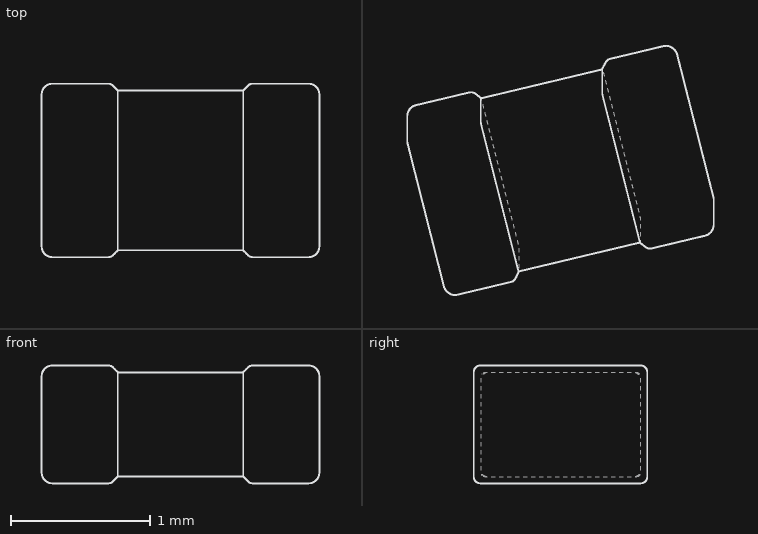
import cadquery as cq

length = 2
width = 1.25
height = 0.85

cap_length = 0.55
cap_step = 0.05
edge_radius = 0.05
end_radius = 0.08

body_length = length - 2 * cap_length
body_width = width - 2 * cap_step
body_height = height - 2 * cap_step


def make_body():
    """Block that fits between the caps, with rounded lengthwise edges."""
    block = cq.Workplane("XY").box(body_length, body_width, body_height)
    return block.edges("|X").fillet(edge_radius)


def make_cap(turn):
    """End cap built at the -X end, then turned about Z by the given angle."""
    center_x = (cap_length - length) / 2
    cap = cq.Workplane("XY").box(cap_length, width, height).translate((center_x, 0, 0))
    cap = cap.faces(">X").chamfer(cap_step)
    cap = cap.edges("not(<X or >X)").fillet(edge_radius)
    cap = cap.faces("<X").edges().fillet(end_radius)
    return cap.rotate((0, 0, 0), (0, 0, 1), turn)


body = make_body()
caps = [make_cap(turn) for turn in (0, 180)]

result = cq.Compound.makeCompound([part.solids().val() for part in (body, *caps)])